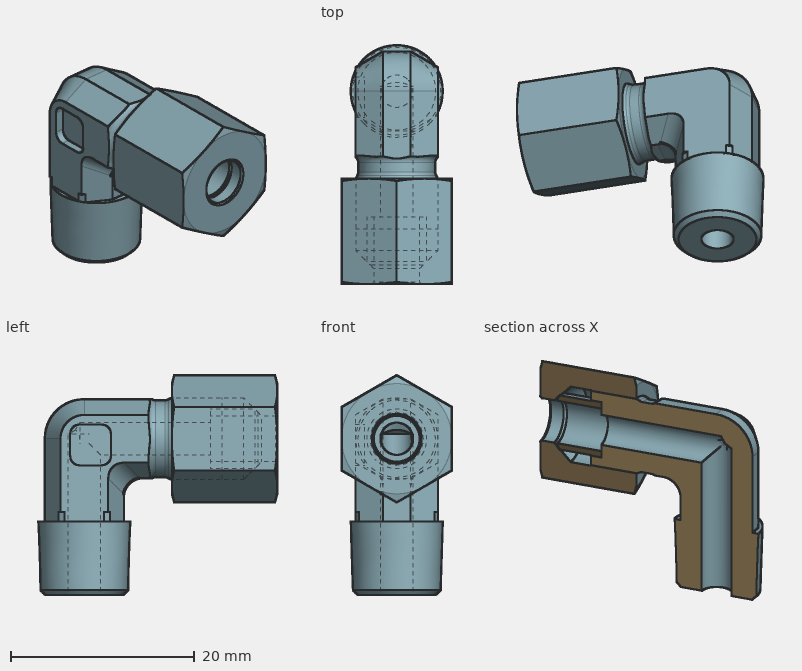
import cadquery as cq
import math


ELBOW_ACROSS_FLATS = 9.0
ELBOW_HALF_DEPTH = 4.32
INNER_BEND_RADIUS = 2.0
BODY_BOTTOM_Z = -9.0

HEX_HALF_ANGLE = 30

PIPE_END_Z = -17.02
PIPE_TOP_RADIUS = 10.05 / 2
PIPE_TAPER = 1 / 16
PIPE_CHAMFER = 0.55
CORNER_TRIM_RADIUS = 10.0 / 2
CORNER_TRIM_HEIGHT = 1.01

SHOULDER_Y = -6.97
NECK_RADIUS = 8.4 / 2
NECK_FILLET = 0.78
NECK_FLARE_Y = -8.77
NECK_FLARE_ANGLE = 30
SPIGOT_RADIUS = 8.92 / 2
SPIGOT_END_Y = -15.0

BORE_RADIUS = 3.5 / 2
BORE_PAST_AXIS = 0.5
DRILL_TIP_ANGLE = 118

PANEL_SIZE = 4.42
PANEL_CORNER_RADIUS = 1.0
PANEL_CENTRE = -0.68
PANEL_DEPTH = 1.0

NUT_ACROSS_FLATS = 12.0
NUT_FRONT_Y = -21.0
NUT_BACK_Y = -9.52
NUT_CHAMFER_ANGLE = 15
NUT_ENTRY_CHAMFER = 0.2
NUT_BORE_LENGTH = 1.7

TUBE_RADIUS = 5.0 / 2
FERRULE_RADIUS = 6.5 / 2
FERRULE_LENGTH = 5.2
FERRULE_SETBACK = 0.4

NUT_CONE_Y = NUT_FRONT_Y + NUT_BORE_LENGTH
FERRULE_FRONT_Y = NUT_CONE_Y + FERRULE_SETBACK
FERRULE_BACK_Y = FERRULE_FRONT_Y + FERRULE_LENGTH


def sin_deg(angle):
    return math.sin(math.radians(angle))


def cos_deg(angle):
    return math.cos(math.radians(angle))


def tan_deg(angle):
    return math.tan(math.radians(angle))


def turned_about_y(points):
    """Revolve an (r, y) outline about the Y axis."""
    return cq.Workplane("XY").polyline(points).close().revolve(360, (0, 0, 0), (0, 1, 0))


def rod_along_y(radius, start_y, end_y):
    return turned_about_y([(0, start_y), (radius, start_y), (radius, end_y), (0, end_y)])


ELBOW_HALF_WIDTH = ELBOW_ACROSS_FLATS / 2
SIDE_HALF_FLAT = ELBOW_HALF_WIDTH * tan_deg(HEX_HALF_ANGLE)
TOP_HALF_FLAT = (2 * SIDE_HALF_FLAT - ELBOW_HALF_DEPTH) / tan_deg(HEX_HALF_ANGLE)
NECK_START_Y = SHOULDER_Y - NECK_FILLET

CUTTER_RADIUS = ELBOW_ACROSS_FLATS

HALF_SECTION = [
    (-ELBOW_HALF_WIDTH, 0),
    (-ELBOW_HALF_WIDTH, SIDE_HALF_FLAT),
    (-TOP_HALF_FLAT, ELBOW_HALF_DEPTH),
    (TOP_HALF_FLAT, ELBOW_HALF_DEPTH),
    (ELBOW_HALF_WIDTH, SIDE_HALF_FLAT),
    (ELBOW_HALF_WIDTH, 0),
]
FULL_SECTION = HALF_SECTION[1:-1] + [(-x, -depth) for x, depth in HALF_SECTION[1:-1]]


def bent_bar():
    """The two legs, the rounded outer bend and the filleted inner bend."""
    down_leg = cq.Workplane("XY").polyline(FULL_SECTION).close().extrude(BODY_BOTTOM_Z)
    tube_leg = cq.Workplane("XZ").polyline(FULL_SECTION).close().extrude(-NECK_START_Y)
    outer_bend = cq.Workplane("XY").polyline(HALF_SECTION).close().revolve(90, (0, 0, 0), (1, 0, 0))
    bar = down_leg.union(tube_leg).union(outer_bend)
    inner_corner = cq.selectors.BoxSelector(
        (-ELBOW_HALF_WIDTH, -ELBOW_HALF_WIDTH, -ELBOW_HALF_WIDTH),
        (ELBOW_HALF_WIDTH, -SIDE_HALF_FLAT, -SIDE_HALF_FLAT),
    )
    return bar.edges(inner_corner).fillet(INNER_BEND_RADIUS)


def shoulder_cut():
    """Turns the end of the tube leg down to the neck with a concave fillet."""
    arc_middle = (
        NECK_RADIUS + NECK_FILLET * (1 - cos_deg(45)),
        NECK_START_Y + NECK_FILLET * sin_deg(45),
    )
    return (
        cq.Workplane("XY")
        .moveTo(NECK_RADIUS, NECK_START_Y)
        .threePointArc(arc_middle, (NECK_RADIUS + NECK_FILLET, SHOULDER_Y))
        .lineTo(CUTTER_RADIUS, SHOULDER_Y)
        .lineTo(CUTTER_RADIUS, NECK_START_Y)
        .close()
        .revolve(360, (0, 0, 0), (0, 1, 0))
    )


def neck_and_spigot():
    """The neck flares through a fillet and a cone to the spigot inside the nut."""
    half_angle = NECK_FLARE_ANGLE / 2
    arc_middle = (
        NECK_RADIUS + NECK_FILLET * (1 - cos_deg(half_angle)),
        NECK_FLARE_Y - NECK_FILLET * sin_deg(half_angle),
    )
    cone_start = (
        NECK_RADIUS + NECK_FILLET * (1 - cos_deg(NECK_FLARE_ANGLE)),
        NECK_FLARE_Y - NECK_FILLET * sin_deg(NECK_FLARE_ANGLE),
    )
    return (
        cq.Workplane("XY")
        .moveTo(0, NECK_START_Y)
        .lineTo(NECK_RADIUS, NECK_START_Y)
        .lineTo(NECK_RADIUS, NECK_FLARE_Y)
        .threePointArc(arc_middle, cone_start)
        .lineTo(SPIGOT_RADIUS, NUT_BACK_Y)
        .lineTo(SPIGOT_RADIUS, SPIGOT_END_Y)
        .lineTo(0, SPIGOT_END_Y)
        .close()
        .revolve(360, (0, 0, 0), (0, 1, 0))
    )


def pipe_end():
    """Tapered pipe-thread end with a chamfered mouth."""
    chamfer_z = PIPE_END_Z + PIPE_CHAMFER
    chamfer_radius = PIPE_TOP_RADIUS - (BODY_BOTTOM_Z - chamfer_z) * PIPE_TAPER / 2
    outline = [
        (0, BODY_BOTTOM_Z),
        (PIPE_TOP_RADIUS, BODY_BOTTOM_Z),
        (chamfer_radius, chamfer_z),
        (chamfer_radius - PIPE_CHAMFER, PIPE_END_Z),
        (0, PIPE_END_Z),
    ]
    return cq.Workplane("XZ").polyline(outline).close().revolve(360, (0, 0, 0), (0, 1, 0))


def corner_trim():
    """Ring that trims the bar corners round just above the pipe end."""
    return (
        cq.Workplane("XY", origin=(0, 0, BODY_BOTTOM_Z))
        .circle(CUTTER_RADIUS)
        .circle(CORNER_TRIM_RADIUS)
        .extrude(CORNER_TRIM_HEIGHT)
    )


def drilled_bore(plane, depth_before_axis):
    """Bore outlined on a plane whose second axis is the drilling axis, pointing inwards."""
    tip_length = BORE_RADIUS / tan_deg(DRILL_TIP_ANGLE / 2)
    outline = [
        (0, -depth_before_axis),
        (BORE_RADIUS, -depth_before_axis),
        (BORE_RADIUS, BORE_PAST_AXIS),
        (0, BORE_PAST_AXIS + tip_length),
    ]
    return cq.Workplane(plane).polyline(outline).close().revolve(360, (0, 0, 0), (0, 1, 0))


def marking_panel():
    return (
        cq.Workplane("YZ", origin=(-ELBOW_HALF_WIDTH, 0, 0))
        .center(PANEL_CENTRE, PANEL_CENTRE)
        .rect(PANEL_SIZE, PANEL_SIZE)
        .extrude(PANEL_DEPTH)
        .edges("|X")
        .fillet(PANEL_CORNER_RADIUS)
    )


def make_elbow():
    ferrule_seat = rod_along_y(FERRULE_RADIUS, SPIGOT_END_Y, FERRULE_BACK_Y)
    return (
        bent_bar()
        .cut(shoulder_cut())
        .cut(corner_trim())
        .union(neck_and_spigot())
        .union(pipe_end())
        .cut(drilled_bore("XZ", -PIPE_END_Z))
        .cut(drilled_bore("XY", -SPIGOT_END_Y))
        .cut(ferrule_seat)
        .cut(marking_panel())
    )


def make_nut():
    """Hexagon nut, chamfered at both ends, with a tube bore, a 45 degree cone and a spigot bore."""
    flat_radius = NUT_ACROSS_FLATS / 2
    corner_radius = flat_radius / cos_deg(HEX_HALF_ANGLE)
    chamfer_length = (corner_radius - flat_radius) * tan_deg(NUT_CHAMFER_ANGLE)
    hexagon = (
        cq.Workplane("XZ", origin=(0, NUT_BACK_Y, 0))
        .polygon(6, 2 * corner_radius)
        .extrude(NUT_BACK_Y - NUT_FRONT_Y)
        .rotate((0, 0, 0), (0, 1, 0), HEX_HALF_ANGLE)
    )
    envelope = turned_about_y(
        [
            (0, NUT_FRONT_Y),
            (flat_radius, NUT_FRONT_Y),
            (corner_radius, NUT_FRONT_Y + chamfer_length),
            (corner_radius, NUT_BACK_Y - chamfer_length),
            (flat_radius, NUT_BACK_Y),
            (0, NUT_BACK_Y),
        ]
    )
    bore = turned_about_y(
        [
            (0, NUT_FRONT_Y),
            (TUBE_RADIUS + NUT_ENTRY_CHAMFER, NUT_FRONT_Y),
            (TUBE_RADIUS, NUT_FRONT_Y + NUT_ENTRY_CHAMFER),
            (TUBE_RADIUS, NUT_CONE_Y),
            (SPIGOT_RADIUS, NUT_CONE_Y + SPIGOT_RADIUS - TUBE_RADIUS),
            (SPIGOT_RADIUS, NUT_BACK_Y),
            (0, NUT_BACK_Y),
        ]
    )
    return hexagon.intersect(envelope).cut(bore)


def make_ferrule():
    """Ring that stands in the elbow's seat and bears on the nut's 45 degree cone."""
    outline = [
        (TUBE_RADIUS, FERRULE_FRONT_Y),
        (TUBE_RADIUS + FERRULE_SETBACK, FERRULE_FRONT_Y),
        (FERRULE_RADIUS, NUT_CONE_Y + FERRULE_RADIUS - TUBE_RADIUS),
        (FERRULE_RADIUS, FERRULE_BACK_Y),
        (TUBE_RADIUS, FERRULE_BACK_Y),
    ]
    return turned_about_y(outline)


elbow = make_elbow().solids()
nut = make_nut().solids()
ferrule = make_ferrule()

result = cq.Compound.makeCompound([elbow.val(), nut.val(), ferrule.val()])